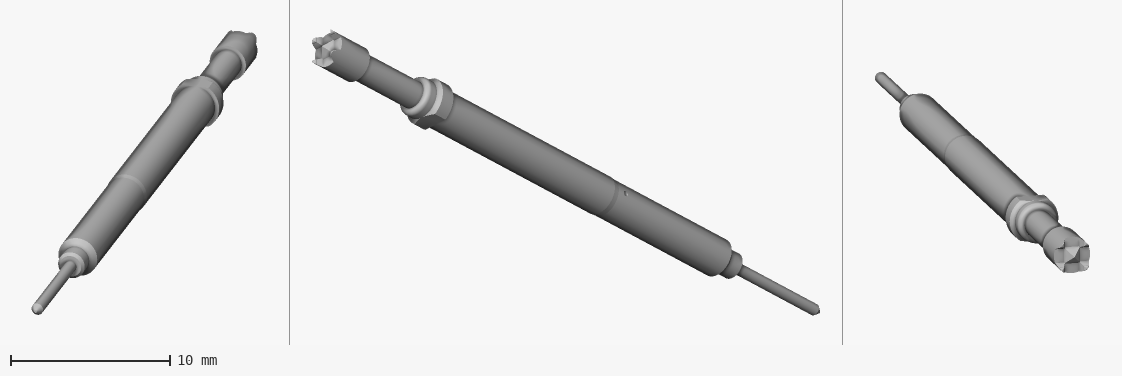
import cadquery as cq
import math

probe_length = 44.8

crown_radius = 2.37 / 2
plunger_radius = 1.85 / 2
barrel_radius = 2.65 / 2
flange_radius = 3.2 / 2
sleeve_radius = 2.55 / 2
neck_radius = 1.75 / 2
wire_radius = 0.75 / 2

tooth_height = 0.6
crown_end = 3.1
collar_start = 8.2
flange_cone_start = 9.0
flange_end = 10.2
barrel_end = 25.05
sleeve_start = 25.45
sleeve_end = 35.6
neck_end = 37.2
wire_end = 44.4

collar_round = 0.3
flange_chamfer = flange_radius - barrel_radius
sleeve_chamfer = sleeve_radius - neck_radius
neck_chamfer = 0.2
wire_tip_radius = 0.1

pyramid_base = 1.08
tooth_base_width = 0.7
tooth_tip_radius = 0.2
tooth_offset = 0.8

dimple_distance = 26.07
dimple_radius = 0.2
dimple_depth = 0.15


def y_at(distance):
    """Y coordinate at a distance from the crown tip, with the part centred on the origin."""
    return probe_length / 2 - distance


def turned_body():
    """Everything below the teeth, revolved about Y as one stepped profile."""
    arc_offset = collar_round * (1 - math.cos(math.radians(45)))
    arc_middle = (barrel_radius - arc_offset, y_at(collar_start + arc_offset))
    arc_end = (barrel_radius, y_at(collar_start + collar_round))
    profile = (
        cq.Workplane("XY")
        .moveTo(0, y_at(tooth_height))
        .lineTo(crown_radius, y_at(tooth_height))
        .lineTo(crown_radius, y_at(crown_end))
        .lineTo(plunger_radius, y_at(crown_end))
        .lineTo(plunger_radius, y_at(collar_start))
        .lineTo(barrel_radius - collar_round, y_at(collar_start))
        .threePointArc(arc_middle, arc_end)
        .lineTo(barrel_radius, y_at(flange_cone_start))
        .lineTo(flange_radius, y_at(flange_cone_start + flange_chamfer))
        .lineTo(flange_radius, y_at(flange_end))
        .lineTo(barrel_radius, y_at(flange_end))
        .lineTo(barrel_radius, y_at(barrel_end))
        .lineTo(sleeve_radius, y_at(sleeve_start))
        .lineTo(sleeve_radius, y_at(sleeve_end))
        .lineTo(neck_radius, y_at(sleeve_end + sleeve_chamfer))
        .lineTo(neck_radius, y_at(neck_end - neck_chamfer))
        .lineTo(neck_radius - neck_chamfer, y_at(neck_end))
        .lineTo(wire_radius, y_at(neck_end))
        .lineTo(wire_radius, y_at(wire_end))
        .lineTo(wire_tip_radius, y_at(probe_length))
        .lineTo(0, y_at(probe_length))
        .close()
    )
    return profile.revolve(360, (0, 0, 0), (0, 1, 0))


def tooth_row(plane, centre):
    """Tapered bar across the crown with a round top; two crossing bars share one tooth."""
    half_base = tooth_base_width / 2
    shoulder = y_at(tooth_tip_radius)
    root = y_at(tooth_height)
    return (
        cq.Workplane(plane)
        .moveTo(centre - half_base, root)
        .lineTo(centre - tooth_tip_radius, shoulder)
        .threePointArc((centre, y_at(0)), (centre + tooth_tip_radius, shoulder))
        .lineTo(centre + half_base, root)
        .close()
        .extrude(crown_radius, both=True)
    )


def corner_tooth(x_side, z_side):
    """Tooth where an X row and a Z row cross, trimmed to the crown's round wall."""
    row_along_z = tooth_row("XY", x_side * tooth_offset)
    row_along_x = tooth_row("ZY", z_side * tooth_offset)
    wall = (
        cq.Workplane("XZ", origin=(0, y_at(0), 0))
        .circle(crown_radius)
        .extrude(tooth_height)
    )
    return row_along_z.intersect(row_along_x).intersect(wall)


def centre_pyramid():
    """Square pyramid on the crown face, its apex on the axis."""
    half_base = pyramid_base / 2
    base = y_at(tooth_height)
    outline = [(-half_base, base), (half_base, base), (0, y_at(0))]
    across_x = cq.Workplane("XY").polyline(outline).close().extrude(half_base, both=True)
    across_z = cq.Workplane("ZY").polyline(outline).close().extrude(half_base, both=True)
    return across_x.intersect(across_z)


def flat_trimmer():
    """Slab whose top and bottom cut two wrench flats on the flange, level with the barrel."""
    return cq.Workplane("XY").box(2 * flange_radius, 2 * probe_length, 2 * barrel_radius)


def crimp_dimple():
    return (
        cq.Workplane("YZ", origin=(-sleeve_radius - dimple_depth, 0, 0))
        .center(y_at(dimple_distance), 0)
        .circle(dimple_radius)
        .extrude(2 * dimple_depth)
    )


result = turned_body().intersect(flat_trimmer())
result = result.union(centre_pyramid())
for x_side in (-1, 1):
    for z_side in (-1, 1):
        result = result.union(corner_tooth(x_side, z_side))
result = result.cut(crimp_dimple())